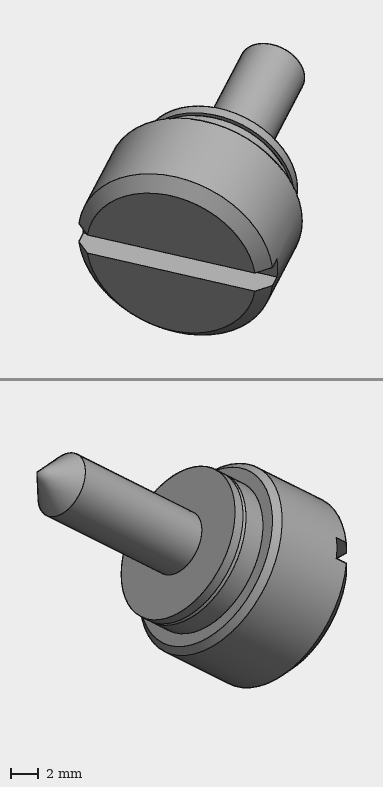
import cadquery as cq

total_length = 25.0

head_diameter = 15.0
head_length = 8.0
head_front_chamfer = 1.0
head_back_chamfer = 0.5

slot_width = 1.75
slot_depth = 2.0

collar_diameter = 12.0
collar_length = 2.0
collar_chamfer = 0.3
collar_end = head_length + collar_length

shank_diameter = 5.0
tip_length = shank_diameter / 2
tip_start = total_length - tip_length

washer_diameter = collar_diameter
washer_thickness = 0.8


def make_screw():
    """Slotted screw: head, collar and pointed shank turned about the Y axis."""
    head_radius = head_diameter / 2
    collar_radius = collar_diameter / 2
    shank_radius = shank_diameter / 2
    profile = (
        cq.Workplane("XY")
        .moveTo(0, 0)
        .lineTo(head_radius - head_front_chamfer, 0)
        .lineTo(head_radius, head_front_chamfer)
        .lineTo(head_radius, head_length - head_back_chamfer)
        .lineTo(head_radius - head_back_chamfer, head_length)
        .lineTo(collar_radius, head_length)
        .lineTo(collar_radius, collar_end - collar_chamfer)
        .lineTo(collar_radius - collar_chamfer, collar_end)
        .lineTo(shank_radius, collar_end)
        .lineTo(shank_radius, tip_start)
        .lineTo(0, total_length)
        .close()
    )
    turned = profile.revolve(360, (0, 0, 0), (0, 1, 0))
    slot = cq.Workplane("XY").box(
        head_diameter, slot_depth, slot_width, centered=(True, False, True)
    )
    return turned.cut(slot)


def make_washer():
    """Flat washer on the shank, seated against the end of the collar."""
    return (
        cq.Workplane("XZ", origin=(0, collar_end, 0))
        .circle(washer_diameter / 2)
        .circle(shank_diameter / 2)
        .extrude(-washer_thickness)
    )


screw = make_screw()
washer = make_washer()

result = cq.Compound.makeCompound([screw.val(), washer.val()])